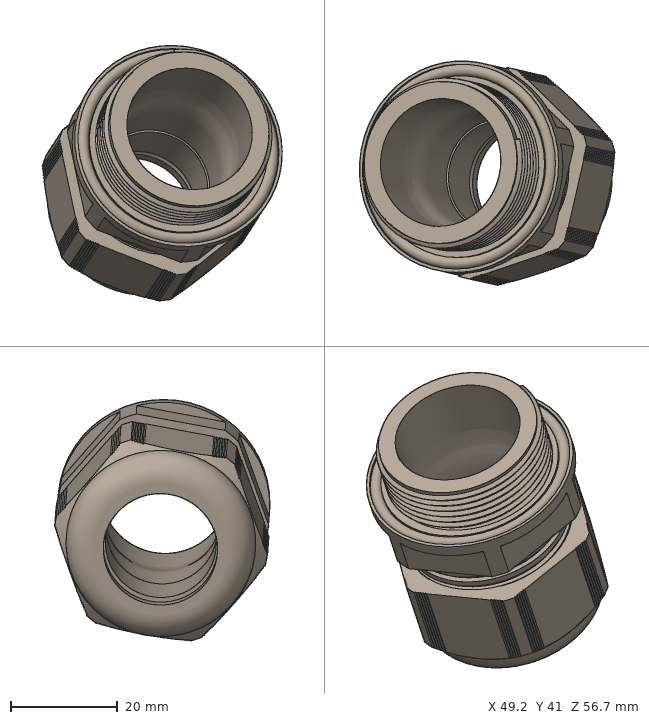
import cadquery as cq
import math


TILT_X_DEG = 23.4
TILT_Y_DEG = 4.1
HEX_TURN_DEG = 21.4
HEX_SIDES = 6
ACROSS_FLATS = 36.0
CUT_MARGIN = 0.55

NUT_ROUND_TOP_Z = 5.5
SEAT_Z = 5.0
BODY_BOTTOM_Z = 16.45
NUT_TOP_Z = 22.95
FLANGE_BOTTOM_Z = 29.7
FLATS_TOP_Z = 36.7
FLANGE_TOP_Z = 39.1
BODY_TOP_Z = 49.1

FLANGE_DIA = 39.75
ENTRY_ROOT_DIA = 30.5
ENTRY_CREST_DIA = 32.05
ENTRY_HEIGHT = 10.5
ENTRY_TURNS = 7
ENTRY_PITCH = ENTRY_HEIGHT / ENTRY_TURNS
ENTRY_BASE_WIDTH = 1.0
ENTRY_CREST_WIDTH = 0.05
ENTRY_END_Z = 48.4
ENTRY_END_AZIMUTH = 170.0
CLAMP_ROOT_DIA = 29.7
CLAMP_CREST_DIA = 31.6
CLAMP_PITCH = 2.5
CLAMP_BASE_WIDTH = 1.35
CLAMP_CREST_WIDTH = 1.2
CLAMP_TURNS = 5
CLAMP_END_Z = 30.3
CLAMP_END_AZIMUTH = 180.0
THREAD_EMBED = 0.2
BORE_TOP_DIA = 24.0
BORE_LOW_DIA = 21.6
BORE_TAPER_TOP_Z = 37.0
BORE_TAPER_DEG = 11.4
BORE_BLEND_RADIUS = 20.0

GROOVE_INNER_DIA = 34.15
GROOVE_OUTER_DIA = 38.5
RING_PROUD = 0.35
RING_THICKNESS = (GROOVE_OUTER_DIA - GROOVE_INNER_DIA) / 2

NUT_CORNER_DIA = 40.3
NOSE_DIA = 35.6
NOSE_FILLET = 5.0
CHAMFER_RISE = 3.7
CHAMFER_RUN = 4.1
NUT_THREAD_DIA = 32.05
INSERT_DIA = 26.4
NOSE_HOLE_DIA = 21.4
NOSE_HOLE_DEPTH = 2.45
SEAT_CONE_DIA = 24.5
GRIP_INNER = 6.45
GRIP_TEETH = 5
GRIP_DEPTH = 0.15

INSERT_BORE_DIA = 20.8


def revolved(points):
    """Solid of revolution about Z from an outline of (radius, z) points."""
    return cq.Workplane("XZ").polyline(points).close().revolve(360, (0, 0, 0), (0, 1, 0))


def tube(outer_dia, inner_dia, bottom, top):
    rings = cq.Workplane("XY").workplane(offset=bottom).circle(outer_dia / 2).circle(inner_dia / 2)
    return rings.extrude(top - bottom)


def thread_ridge(root_dia, crest_dia, pitch, base_width, crest_width, turns, end_z, end_azimuth):
    """Right-handed helical ridge that ends at the given height and azimuth."""
    root = root_dia / 2
    crest = crest_dia / 2
    flank_slope = (base_width - crest_width) / 2 / (crest - root)
    half_crest = crest_width / 2
    half_foot = base_width / 2 + THREAD_EMBED * flank_slope
    foot = root - THREAD_EMBED
    path = cq.Wire.makeHelix(pitch, turns * pitch, root)
    ridge = (
        cq.Workplane("XZ")
        .polyline([(foot, -half_foot), (crest, -half_crest), (crest, half_crest), (foot, half_foot)])
        .close()
        .sweep(cq.Workplane(path), isFrenet=True)
    )
    return ridge.rotate((0, 0, 0), (0, 0, 1), end_azimuth).translate((0, 0, end_z - turns * pitch))


def hex_prism(bottom, top):
    across_corners = ACROSS_FLATS / math.cos(math.pi / HEX_SIDES)
    hexagon = cq.Workplane("XY").workplane(offset=bottom).polygon(HEX_SIDES, across_corners)
    prism = hexagon.extrude(top - bottom)
    return prism.rotate((0, 0, 0), (0, 0, 1), HEX_TURN_DEG + 180 / HEX_SIDES)


def body_bore():
    """Stepped bore whose two diameters are joined by a cone with a tangent arc at each end."""
    wide = BORE_TOP_DIA / 2
    narrow = BORE_LOW_DIA / 2
    taper = math.radians(BORE_TAPER_DEG)

    def arc_step(angle):
        """Radial and axial distance covered by a blend arc after turning by an angle."""
        return BORE_BLEND_RADIUS * (1 - math.cos(angle)), BORE_BLEND_RADIUS * math.sin(angle)

    half_in, half_down = arc_step(taper / 2)
    full_in, full_down = arc_step(taper)
    cone_height = (wide - narrow - 2 * full_in) / math.tan(taper)
    taper_bottom_z = BORE_TAPER_TOP_Z - 2 * full_down - cone_height
    return (
        cq.Workplane("XZ")
        .moveTo(0, BODY_TOP_Z)
        .lineTo(wide, BODY_TOP_Z)
        .lineTo(wide, BORE_TAPER_TOP_Z)
        .threePointArc(
            (wide - half_in, BORE_TAPER_TOP_Z - half_down),
            (wide - full_in, BORE_TAPER_TOP_Z - full_down),
        )
        .lineTo(narrow + full_in, taper_bottom_z + full_down)
        .threePointArc((narrow + half_in, taper_bottom_z + half_down), (narrow, taper_bottom_z))
        .lineTo(narrow, BODY_BOTTOM_Z)
        .lineTo(0, BODY_BOTTOM_Z)
        .close()
        .revolve(360, (0, 0, 0), (0, 1, 0))
    )


def make_body():
    core = revolved([
        (0, BODY_TOP_Z),
        (ENTRY_ROOT_DIA / 2, BODY_TOP_Z),
        (ENTRY_ROOT_DIA / 2, FLANGE_TOP_Z),
        (FLANGE_DIA / 2, FLANGE_TOP_Z),
        (FLANGE_DIA / 2, FLANGE_BOTTOM_Z),
        (CLAMP_ROOT_DIA / 2, FLANGE_BOTTOM_Z),
        (CLAMP_ROOT_DIA / 2, BODY_BOTTOM_Z),
        (0, BODY_BOTTOM_Z),
    ]).cut(body_bore())
    flats_blank = tube(FLANGE_DIA + 2 * CUT_MARGIN, CLAMP_CREST_DIA, FLANGE_BOTTOM_Z, FLATS_TOP_Z)
    flats_waste = flats_blank.cut(hex_prism(FLANGE_BOTTOM_Z, FLATS_TOP_Z))
    groove_floor_z = FLANGE_TOP_Z + RING_PROUD - RING_THICKNESS
    groove = tube(GROOVE_OUTER_DIA, GROOVE_INNER_DIA, groove_floor_z, FLANGE_TOP_Z)
    entry_thread = thread_ridge(
        ENTRY_ROOT_DIA, ENTRY_CREST_DIA, ENTRY_PITCH, ENTRY_BASE_WIDTH, ENTRY_CREST_WIDTH,
        ENTRY_TURNS, ENTRY_END_Z, ENTRY_END_AZIMUTH,
    )
    clamp_thread = thread_ridge(
        CLAMP_ROOT_DIA, CLAMP_CREST_DIA, CLAMP_PITCH, CLAMP_BASE_WIDTH, CLAMP_CREST_WIDTH,
        CLAMP_TURNS, CLAMP_END_Z, CLAMP_END_AZIMUTH,
    )
    return core.cut(flats_waste).cut(groove).union(entry_thread).union(clamp_thread)


def make_o_ring():
    radius = (GROOVE_OUTER_DIA + GROOVE_INNER_DIA) / 4
    height = FLANGE_TOP_Z + RING_PROUD - RING_THICKNESS / 2
    return (
        cq.Workplane("XZ")
        .center(radius, height)
        .circle(RING_THICKNESS / 2)
        .revolve(360, (-radius, 0, 0), (-radius, 1, 0))
    )


def nut_hexagon():
    """Hexagon with rounded corners and a ribbed strip at both ends of every flat."""
    corner = NUT_CORNER_DIA / 2
    apothem = ACROSS_FLATS / 2
    half_flat = math.sqrt(corner**2 - apothem**2)
    tooth = (half_flat - GRIP_INNER) / GRIP_TEETH

    strip = [(apothem, GRIP_INNER)]
    for i in range(GRIP_TEETH):
        strip.append((apothem - GRIP_DEPTH, GRIP_INNER + (i + 0.5) * tooth))
        strip.append((apothem, GRIP_INNER + (i + 1) * tooth))
    flat = [(x, -y) for x, y in reversed(strip)] + strip

    def turned(point, angle):
        x, y = point
        return (x * math.cos(angle) - y * math.sin(angle), x * math.sin(angle) + y * math.cos(angle))

    step = 2 * math.pi / HEX_SIDES
    outline = cq.Workplane("XY").moveTo(*flat[0])
    for side in range(HEX_SIDES):
        angle = side * step
        for point in flat[1:]:
            outline = outline.lineTo(*turned(point, angle))
        corner_middle = turned((corner, 0), angle + step / 2)
        outline = outline.threePointArc(corner_middle, turned(flat[0], angle + step))
    return outline.close().extrude(NUT_TOP_Z).rotate((0, 0, 0), (0, 0, 1), HEX_TURN_DEG)


def make_nut():
    nose = NOSE_DIA / 2
    slope = CHAMFER_RISE / CHAMFER_RUN
    rim = NUT_CORNER_DIA / 2 + CUT_MARGIN
    mid_arc_inset = NOSE_FILLET * (1 - math.sqrt(0.5))
    envelope = (
        cq.Workplane("XZ")
        .moveTo(0, 0)
        .lineTo(nose - NOSE_FILLET, 0)
        .threePointArc((nose - mid_arc_inset, mid_arc_inset), (nose, NOSE_FILLET))
        .lineTo(nose, NUT_ROUND_TOP_Z)
        .lineTo(rim, NUT_ROUND_TOP_Z + (rim - nose) * slope)
        .lineTo(rim, NUT_TOP_Z)
        .lineTo(0, NUT_TOP_Z)
        .close()
        .revolve(360, (0, 0, 0), (0, 1, 0))
    )
    cavity = revolved([
        (0, 0),
        (NOSE_HOLE_DIA / 2, 0),
        (NOSE_HOLE_DIA / 2, NOSE_HOLE_DEPTH),
        (SEAT_CONE_DIA / 2, SEAT_Z),
        (INSERT_DIA / 2, SEAT_Z),
        (INSERT_DIA / 2, BODY_BOTTOM_Z),
        (NUT_THREAD_DIA / 2, BODY_BOTTOM_Z),
        (NUT_THREAD_DIA / 2, NUT_TOP_Z),
        (0, NUT_TOP_Z),
    ])
    return nut_hexagon().intersect(envelope).cut(cavity)


def make_sealing_insert():
    return tube(INSERT_DIA, INSERT_BORE_DIA, SEAT_Z, BODY_BOTTOM_Z)


lean_x = math.tan(math.radians(TILT_X_DEG))
lean_y = math.tan(math.radians(TILT_Y_DEG))
tilted = cq.Plane(origin=(0, 0, 0), xDir=(1, 0, -lean_x), normal=(lean_x, lean_y, 1))
placement = cq.Location(tilted)

body = make_body().val().moved(placement)
o_ring = make_o_ring().val().moved(placement)
nut = make_nut().val().moved(placement)
sealing_insert = make_sealing_insert().val().moved(placement)

result = cq.Compound.makeCompound([body, o_ring, nut, sealing_insert])